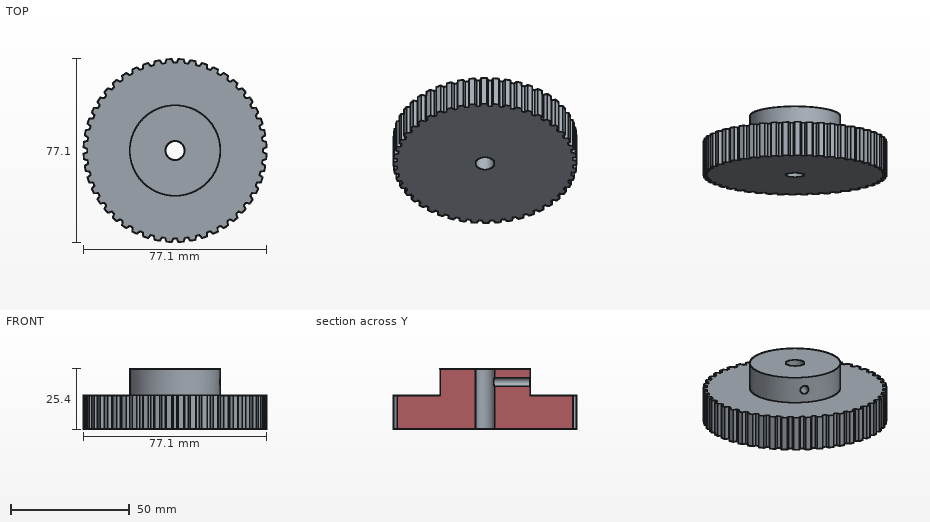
import cadquery as cq
import math


tooth_count = 48
belt_pitch = 5.08
pitch_line_offset = 0.254
groove_depth = 1.524
groove_bottom_width = 1.372
groove_flank_angle = 25.0

toothed_width = 14.2875
total_height = 25.4
hub_diameter = 38.1
bore_diameter = 7.9375
set_screw_hole_diameter = 3.5

pitch_diameter = tooth_count * belt_pitch / math.pi
outer_radius = pitch_diameter / 2 - pitch_line_offset
hub_height = total_height - toothed_width
set_screw_height = toothed_width + hub_height / 2

cutter_overrun = 1.0


def make_blank():
    """Plain rim disc with the hub on top of it."""
    rim = cq.Workplane("XY").circle(outer_radius).extrude(toothed_width)
    hub = (
        cq.Workplane("XY")
        .workplane(offset=toothed_width)
        .circle(hub_diameter / 2)
        .extrude(hub_height)
    )
    return rim.union(hub)


def make_groove_cutter():
    """Trapezoidal prism for one belt tooth, centred on the +X axis."""
    inner_x = outer_radius - groove_depth
    outer_x = outer_radius + cutter_overrun
    inner_half_width = groove_bottom_width / 2
    flank_spread = (outer_x - inner_x) * math.tan(math.radians(groove_flank_angle))
    outer_half_width = inner_half_width + flank_spread
    corners = [
        (inner_x, -inner_half_width),
        (outer_x, -outer_half_width),
        (outer_x, outer_half_width),
        (inner_x, inner_half_width),
    ]
    return cq.Workplane("XY").polyline(corners).close().extrude(toothed_width)


def cut_grooves(body):
    """Belt grooves spaced evenly around the rim, the first one on +X."""
    cutter = make_groove_cutter().val()
    cutters = cq.Workplane("XY").polarArray(0, 0, 360, tooth_count).eachpoint(cutter)
    return body.cut(cutters)


def cut_bore(body):
    """Bore through the full height on the axis."""
    bore = cq.Workplane("XY").circle(bore_diameter / 2).extrude(total_height)
    return body.cut(bore)


def cut_set_screw_hole(body):
    """Radial hole from the bore out through the +X side of the hub, at mid hub height."""
    hole = (
        cq.Workplane("YZ")
        .center(0, set_screw_height)
        .circle(set_screw_hole_diameter / 2)
        .extrude(hub_diameter / 2)
    )
    return body.cut(hole)


pulley = cut_grooves(make_blank())
pulley = cut_bore(pulley)
result = cut_set_screw_hole(pulley)